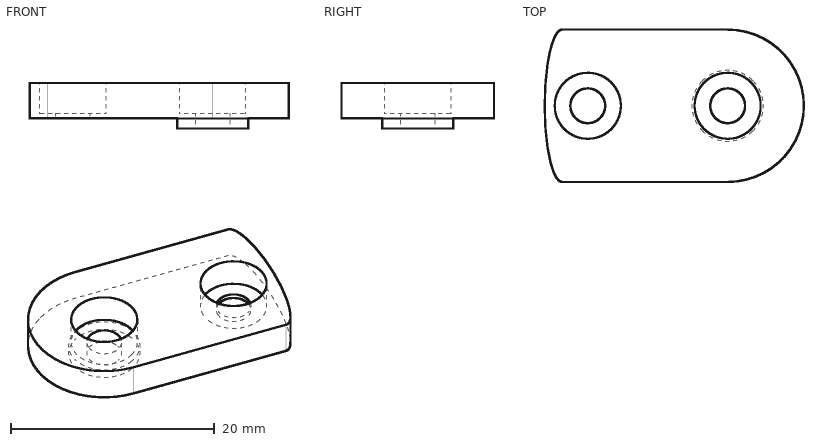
import cadquery as cq

length = 25.5
width = 15.0
thickness = 3.5
round_radius = width / 2
bow_depth = 1.75

hole_diameter = 3.4
counterbore_diameter = 6.5
counterbore_depth = 3.0
hole_spacing = 13.75

boss_diameter = 7.0
boss_height = 1.0

bow_tip_x = round_radius - length
bow_start_x = bow_tip_x + bow_depth
hole_centers = [(0, 0), (-hole_spacing, 0)]


def make_plate():
    """Plate with a semicircular +X end and a shallow half-ellipse at the -X end."""
    body = (
        cq.Workplane("XY")
        .moveTo(bow_start_x, -round_radius)
        .lineTo(0, -round_radius)
        .threePointArc((round_radius, 0), (0, round_radius))
        .lineTo(bow_start_x, round_radius)
        .close()
        .extrude(thickness)
    )
    bowed_end = (
        cq.Workplane("XY")
        .center(bow_start_x, 0)
        .ellipse(bow_depth, round_radius)
        .extrude(thickness)
    )
    return body.union(bowed_end)


def make_boss():
    """Round boss hanging below the plate."""
    return cq.Workplane("XY").circle(boss_diameter / 2).extrude(-boss_height)


def drill_counterbored_holes(part):
    """Through holes counterbored from the top face."""
    return (
        part.faces(">Z")
        .workplane(origin=(0, 0, thickness))
        .pushPoints(hole_centers)
        .cboreHole(hole_diameter, counterbore_diameter, counterbore_depth)
    )


result = drill_counterbored_holes(make_plate().union(make_boss()))